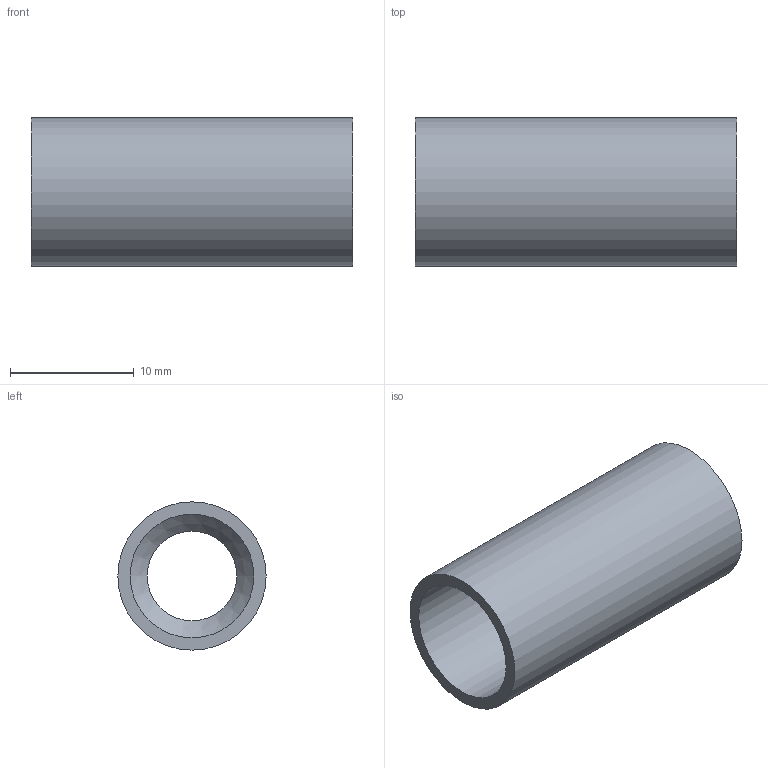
import cadquery as cq
import math

length = 26.0
outer_diameter = 12.0
bore_diameter = 10.0
exit_diameter = 7.25
cone_half_angle = 45.0

outer_radius = outer_diameter / 2
bore_radius = bore_diameter / 2
exit_radius = exit_diameter / 2
cone_length = (bore_radius - exit_radius) / math.tan(math.radians(cone_half_angle))
x_entry = -length / 2
x_exit = length / 2
x_cone_start = x_exit - cone_length


def sleeve_half_section():
    """Wall of the sleeve above its axis: straight bore narrowing in a cone at the +X end."""
    return (
        cq.Workplane("XY")
        .moveTo(x_entry, outer_radius)
        .lineTo(x_exit, outer_radius)
        .lineTo(x_exit, exit_radius)
        .lineTo(x_cone_start, bore_radius)
        .lineTo(x_entry, bore_radius)
        .close()
    )


result = sleeve_half_section().revolve(360, (0, 0, 0), (1, 0, 0))